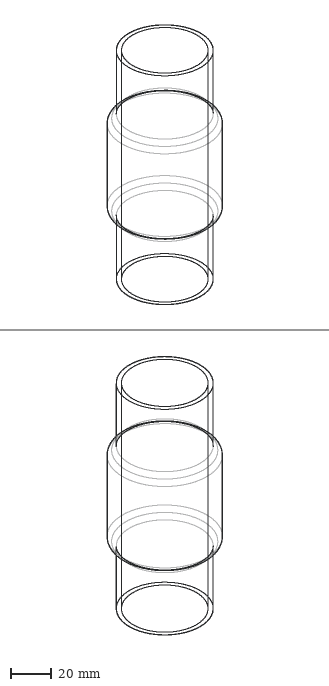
import cadquery as cq
import math

TOTAL_LENGTH = 134.0
SLEEVE_LENGTH = 60.0
SLEEVE_DIAMETER = 57.5
PIPE_DIAMETER = 48.3
PIPE_WALL = 2.6
BLEND_RADIUS = 3.0

HALF_LENGTH = TOTAL_LENGTH / 2
HALF_SLEEVE = SLEEVE_LENGTH / 2
SLEEVE_RADIUS = SLEEVE_DIAMETER / 2
PIPE_RADIUS = PIPE_DIAMETER / 2
BORE_RADIUS = PIPE_RADIUS - PIPE_WALL

MID_RADIUS = (SLEEVE_RADIUS + PIPE_RADIUS) / 2
ARC_ANGLE = math.acos(1 - (SLEEVE_RADIUS - MID_RADIUS) / BLEND_RADIUS)
ARC_HEIGHT = BLEND_RADIUS * math.sin(ARC_ANGLE)
MID_HEIGHT = HALF_SLEEVE - ARC_HEIGHT
SLEEVE_EDGE_HEIGHT = MID_HEIGHT - ARC_HEIGHT


def section_profile():
    """Radial section of the full length, in the XZ plane, drawn from bottom to top."""
    return (
        cq.Workplane("XZ")
        .moveTo(BORE_RADIUS, -HALF_LENGTH)
        .lineTo(PIPE_RADIUS, -HALF_LENGTH)
        .lineTo(PIPE_RADIUS, -HALF_SLEEVE)
        .radiusArc((MID_RADIUS, -MID_HEIGHT), BLEND_RADIUS)
        .radiusArc((SLEEVE_RADIUS, -SLEEVE_EDGE_HEIGHT), -BLEND_RADIUS)
        .lineTo(SLEEVE_RADIUS, SLEEVE_EDGE_HEIGHT)
        .radiusArc((MID_RADIUS, MID_HEIGHT), -BLEND_RADIUS)
        .radiusArc((PIPE_RADIUS, HALF_SLEEVE), BLEND_RADIUS)
        .lineTo(PIPE_RADIUS, HALF_LENGTH)
        .lineTo(BORE_RADIUS, HALF_LENGTH)
        .close()
    )


def make_coupling():
    """Revolve the section about the Z axis."""
    return section_profile().revolve(360, (0, 0, 0), (0, 1, 0))


result = make_coupling()